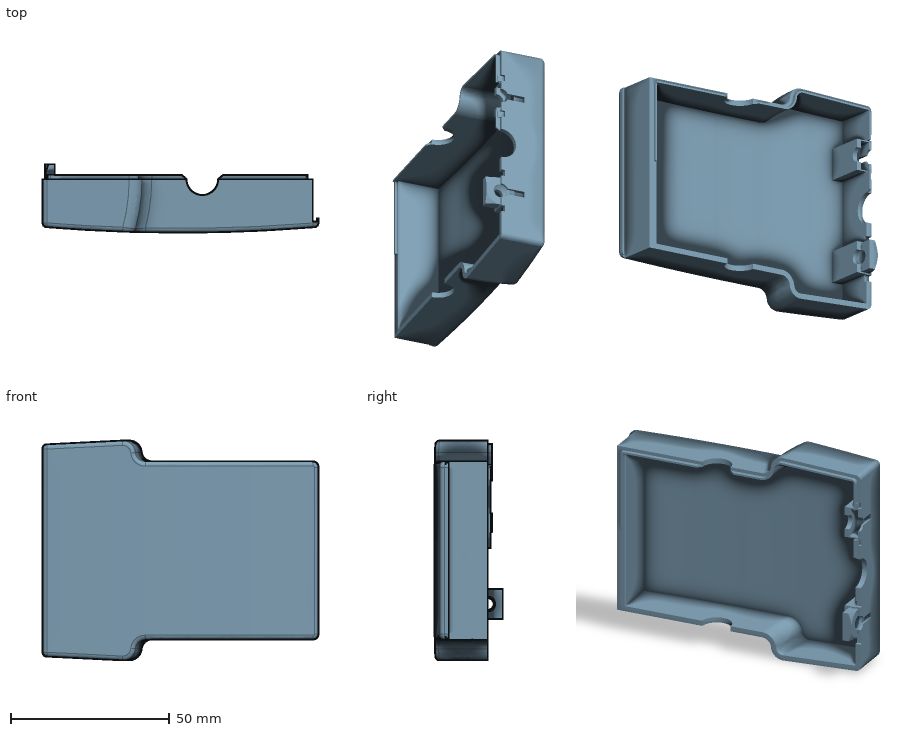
import cadquery as cq
import math

LENGTH = 87.3
FRONT_DEPTH = 16.95
FRONT_BOW = 1.8
HEAD_HEIGHT = 69.6
HEAD_HALF = HEAD_HEIGHT / 2
HEAD_END_HALF = 33.5
NECK_HALF = 28.2
SHOULDER_START = 27.3
SHOULDER_LENGTH = 7.2
SHOULDER_SPLIT = 0.57
SHOULDER_LEAN = 2.45
LEAN_LEVELS = 4
EDGE_RADIUS = 1.5
HEAD_CORNER_RADIUS = 1.5
FLANGE_CORNER_RADIUS = 1.8

WALL = 1.75
WALL_END = 85.5
END_WALL_INNER = 82.5
END_WALL_CHAMFER = 0.35
FLANGE_FLOOR = -13.4
HOOK_TOP = -12.4
HOOK_THICKNESS = 0.6
LIP_INSET = 1.1
LIP_CORNER_RADIUS = 2.6
LIP_WIDTH = WALL - LIP_INSET
LIP_END = 83.85
LIP_HEIGHT = 1.4
END_LIP_HEIGHT = 0.9
LIP_START_Z = 0.7

PORT_RADIUS = 5.0
SIDE_PORT_X = 50.6
HEAD_FLARE = 0.9
SIDE_FLARE = 1.6

NUT_SIDE = 9.5
NUT_THICKNESS = 3.15
NUT_X = 0.8
NUT_BORE_RADIUS = 1.8
NUT_SINK = 0.5
THREAD_RADIUS = 2.2
THREAD_RINGS = 4
NUT_CHAMFER_ANGLE = 30.0
SEAT_Z = 16.95
SEAT_DEPTH = 4.9
SEAT_BLOCK_HALF = 5.15
SEAT_BACK_X = 5.5
SCREW_RADIUS = 2.4
SLOT_WIDTH = 2.0
SLOT_DEPTH = 7.95
SLOT_X = 1.2
CATCH_OFFSET = 6.4
CATCH_WIDTH = 2.1
CATCH_DEPTH = 1.2
TAB_HEIGHT = 0.9
TAB_X = 0.8

CLEAR = 43.7


def box(x, y, z):
    """Box spanning the three given (low, high) ranges."""
    return (cq.Workplane("XY")
            .box(x[1] - x[0], y[1] - y[0], z[1] - z[0], centered=False)
            .translate((x[0], y[0], z[0])))


def around(centre, half):
    return (centre - half, centre + half)


def outline(end_x, lean=0.0, inset=0.0, head_corner=HEAD_CORNER_RADIUS):
    """Closed XZ outline of the cover with its shoulder shifted by lean towards -X."""
    drop = HEAD_HALF - NECK_HALF
    turn = 2 * math.atan(drop / SHOULDER_LENGTH)
    radius = drop / (1 - math.cos(turn))
    reach = radius * math.sin(turn / 2)
    dip = radius * (1 - math.cos(turn / 2))
    outer_share = SHOULDER_SPLIT
    inner_share = 1 - SHOULDER_SPLIT
    start = SHOULDER_START - lean
    end = start + SHOULDER_LENGTH
    middle = (start + outer_share * SHOULDER_LENGTH, HEAD_HALF - outer_share * drop)
    crest = (start + outer_share * reach, HEAD_HALF - outer_share * dip)
    hollow = (end - inner_share * reach, NECK_HALF + inner_share * dip)

    def below(point):
        return (point[0], -point[1])

    path = (cq.Workplane("XY")
            .moveTo(0, -HEAD_END_HALF)
            .lineTo(0, HEAD_END_HALF)
            .lineTo(start, HEAD_HALF)
            .threePointArc(crest, middle)
            .threePointArc(hollow, (end, NECK_HALF))
            .lineTo(end_x, NECK_HALF)
            .lineTo(end_x, -NECK_HALF)
            .lineTo(end, -NECK_HALF)
            .threePointArc(below(hollow), below(middle))
            .threePointArc(below(crest), (start, -HEAD_HALF))
            .close())
    wire = path.val()
    wire = wire.fillet2D(head_corner, path.vertices("<X").vals())
    wire = wire.fillet2D(FLANGE_CORNER_RADIUS, path.vertices(">X").vals())
    if inset:
        wire = wire.offset2D(-inset)[0]
    return wire.rotate(cq.Vector(0, 0, 0), cq.Vector(1, 0, 0), 90)


def leaning_block(end_x, inset=0.0):
    """Block from the rim to the front whose shoulder leans along a parabola."""
    sections = []
    for level in range(LEAN_LEVELS + 1):
        share = level / LEAN_LEVELS
        section = outline(end_x, SHOULDER_LEAN * share ** 2, inset)
        sections.append(section.translate(cq.Vector(0, -FRONT_DEPTH * share, 0)))
    return cq.Workplane(cq.Solid.makeLoft(sections))


def bowed_slab(depth):
    """Slab from above the rim down to the bowed front, with its deepest line at mid length."""
    front_end = FRONT_BOW - depth
    return (cq.Workplane("XY")
            .moveTo(0, LIP_HEIGHT)
            .lineTo(0, front_end)
            .threePointArc((LENGTH / 2, -depth), (LENGTH, front_end))
            .lineTo(LENGTH, LIP_HEIGHT)
            .close()
            .extrude(CLEAR, both=True))


def cover_shell():
    shell = leaning_block(LENGTH).intersect(bowed_slab(FRONT_DEPTH))
    return shell.faces("<Y").edges().fillet(EDGE_RADIUS)


def cavity():
    room = leaning_block(END_WALL_INNER + WALL, WALL).intersect(bowed_slab(FRONT_DEPTH - WALL))
    end_chamfer = (cq.Workplane("XY")
                   .polyline([(END_WALL_INNER, 0), (END_WALL_INNER + END_WALL_CHAMFER, 0),
                              (END_WALL_INNER, -END_WALL_CHAMFER)])
                   .close()
                   .extrude(NECK_HALF - WALL, both=True))
    return room.union(end_chamfer)


def flange_cut():
    """Space behind the +X flange, leaving a thin hook along its edge."""
    hook_x = LENGTH - HOOK_THICKNESS
    groove = box((WALL_END, hook_x), (FLANGE_FLOOR, CLEAR), (-CLEAR, CLEAR))
    return groove.union(box((WALL_END, LENGTH + CLEAR), (HOOK_TOP, CLEAR), (-CLEAR, CLEAR)))


def rim_lip():
    """Raised lip on the +Z half of the rim, lower on the end wall, open at the nut seat."""
    end_x = LIP_END + LIP_INSET
    rise = cq.Vector(0, LIP_HEIGHT, 0)
    outer = cq.Solid.extrudeLinear(outline(end_x, 0, LIP_INSET, LIP_CORNER_RADIUS), [], rise)
    inner = cq.Solid.extrudeLinear(outline(end_x, 0, WALL), [], rise)
    lip = cq.Workplane(outer).cut(cq.Workplane(inner))
    lip = lip.cut(box((-CLEAR, LENGTH + CLEAR), (-CLEAR, CLEAR), (-CLEAR, LIP_START_Z)))
    lip = lip.cut(box((LIP_END - LIP_WIDTH, LIP_END), (END_LIP_HEIGHT, CLEAR),
                      (-CLEAR, NECK_HALF - WALL)))
    return lip.cut(box((-CLEAR, 2 * WALL), (-CLEAR, CLEAR), around(SEAT_Z, SEAT_BLOCK_HALF)))


def port(flare, length):
    """Half-round port across the rim, flared through the lip, running along +Z from Z = 0."""
    throat = cq.Workplane("XY").circle(PORT_RADIUS).extrude(length)
    flared = (cq.Workplane("XY")
              .polyline([(-PORT_RADIUS, 0), (PORT_RADIUS, 0),
                         (PORT_RADIUS + flare, LIP_HEIGHT), (-PORT_RADIUS - flare, LIP_HEIGHT)])
              .close()
              .extrude(length))
    return throat.union(flared)


def head_port():
    """Port through the -X wall."""
    return port(HEAD_FLARE, 2 * WALL).rotate((0, 0, 0), (0, 1, 0), 90)


def side_ports():
    """Aligned ports through both long walls."""
    return port(SIDE_FLARE, 2 * CLEAR).translate((SIDE_PORT_X, 0, -CLEAR))


def seat_block(z):
    """Block on the inside of the -X wall, rooted in the front wall."""
    root = FRONT_BOW + WALL / 2 - FRONT_DEPTH
    return box((WALL, SEAT_BACK_X), (root, 0), around(z, SEAT_BLOCK_HALF))


def seat_cut(z):
    """Nut pocket, screw hole and slot."""
    pocket = box((NUT_X, NUT_X + NUT_THICKNESS), (-SEAT_DEPTH, CLEAR), around(z, NUT_SIDE / 2))
    screw = cq.Workplane("YZ").center(0, z).circle(SCREW_RADIUS).extrude(SEAT_BACK_X)
    slot = box((0, SLOT_X), (-SLOT_DEPTH, 0), around(z, SLOT_WIDTH / 2))
    return pocket.union(screw).union(slot)


def catch_places(seat_z):
    return [seat_z - CATCH_OFFSET, seat_z + CATCH_OFFSET]


def notch(z, depth_x):
    return box((0, depth_x), (-CATCH_DEPTH, 0), around(z, CATCH_WIDTH / 2))


def tab(z):
    """Tab standing above the rim, to enter the notch of a mating half."""
    return box((TAB_X, WALL), (-CATCH_DEPTH, TAB_HEIGHT), around(z, CATCH_WIDTH / 2))


def make_cover():
    cover = cover_shell()
    cover = cover.cut(box((-CLEAR, LENGTH + CLEAR), (0, CLEAR), (-CLEAR, CLEAR)))
    cover = cover.cut(cavity())
    cover = cover.cut(flange_cut())
    cover = cover.union(rim_lip())
    for z in (-SEAT_Z, SEAT_Z):
        cover = cover.union(seat_block(z))
        cover = cover.cut(seat_cut(z))
    for z in catch_places(-SEAT_Z):
        cover = cover.cut(notch(z, WALL))
    for z in catch_places(SEAT_Z):
        cover = cover.cut(notch(z, TAB_X)).union(tab(z))
    return cover.cut(head_port()).cut(side_ports())


def threaded_bore():
    """Bore along X with V-shaped ring grooves for the thread and a countersink at each end."""
    pitch = (NUT_THICKNESS - 2 * NUT_SINK) / THREAD_RINGS
    points = [(0, 0), (0, NUT_BORE_RADIUS + NUT_SINK), (NUT_SINK, NUT_BORE_RADIUS)]
    for ring in range(THREAD_RINGS):
        groove_start = NUT_SINK + ring * pitch
        points.append((groove_start + pitch / 2, THREAD_RADIUS))
        points.append((groove_start + pitch, NUT_BORE_RADIUS))
    points.append((NUT_THICKNESS, NUT_BORE_RADIUS + NUT_SINK))
    points.append((NUT_THICKNESS, 0))
    return cq.Workplane("XY").polyline(points).close().revolve(360, (0, 0, 0), (1, 0, 0))


def make_nut():
    """Square nut with its bore along X, its outer corners chamfered by a cone."""
    half = NUT_SIDE / 2
    slope = math.tan(math.radians(NUT_CHAMFER_ANGLE))
    cone_base = half + NUT_THICKNESS / slope
    nut = cq.Workplane("YZ").rect(NUT_SIDE, NUT_SIDE).extrude(NUT_THICKNESS)
    cone = (cq.Workplane("XY")
            .polyline([(0, 0), (0, half), (NUT_THICKNESS, cone_base), (NUT_THICKNESS, 0)])
            .close()
            .revolve(360, (0, 0, 0), (1, 0, 0)))
    nut = nut.intersect(cone)
    nut = nut.cut(threaded_bore())
    return nut.translate((NUT_X, 0, -SEAT_Z))


cover = make_cover()
nut = make_nut()
result = cq.Compound.makeCompound([cover.val(), nut.val()])